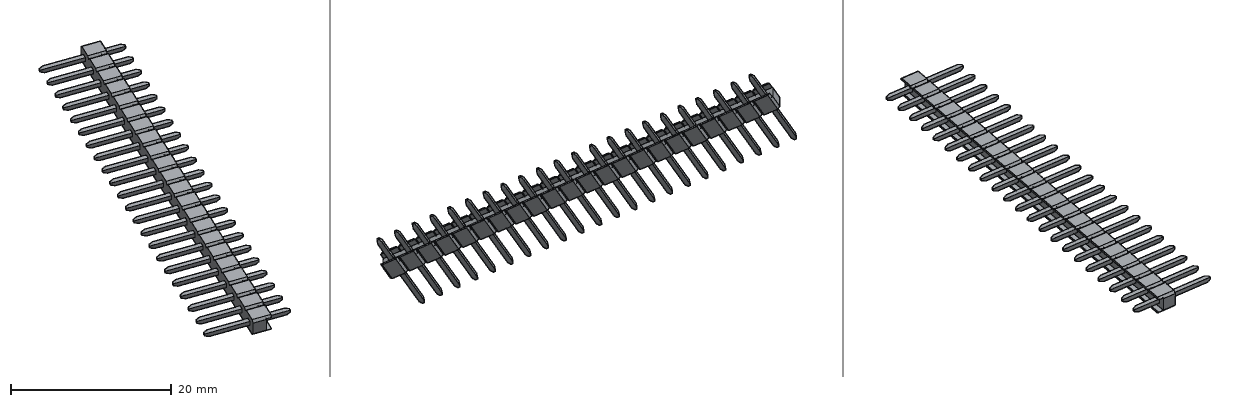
import cadquery as cq

PIN_COUNT = 22
PITCH = 2.54
ROW_LENGTH = PIN_COUNT * PITCH

HOUSING_DEPTH = PITCH
HOUSING_HEIGHT = 2.5
CELL_CHAMFER_X = 0.3
CELL_CHAMFER_Z = 0.35

CHANNEL_DEPTH = 0.72
LIP_THICKNESS = 0.29
CHANNEL_HEIGHT = HOUSING_HEIGHT - 2 * LIP_THICKNESS

PIN_WIDTH = 0.64
FRONT_PIN_LENGTH = 6.06
REAR_PIN_LENGTH = 3.0
TIP_LENGTH = 0.54
TIP_WIDTH = PIN_WIDTH / 2
PIN_OFFSET_X = -0.1

HOUSING_FRONT_Y = -HOUSING_DEPTH / 2
HOUSING_REAR_Y = HOUSING_DEPTH / 2
PIN_FRONT_Y = HOUSING_FRONT_Y - FRONT_PIN_LENGTH
PIN_REAR_Y = HOUSING_REAR_Y + REAR_PIN_LENGTH


def cell_centre(index):
    """X position of the centre of one header position."""
    return (index + 0.5) * PITCH - ROW_LENGTH / 2


def section_at(y):
    """XZ workplane at the given Y whose normal points toward +Y (local x is +Z, local y is +X)."""
    return cq.Workplane(cq.Plane(origin=(0, y, 0), xDir=(0, 0, 1), normal=(0, 1, 0)))


def make_housing():
    """Extrude the scalloped row outline along Y and cut the rear channel."""
    half_pitch = PITCH / 2
    half_flat = half_pitch - CELL_CHAMFER_X
    top = HOUSING_HEIGHT / 2
    shoulder = top - CELL_CHAMFER_Z

    upper_edge = [(shoulder, -ROW_LENGTH / 2)]
    for index in range(PIN_COUNT):
        x = cell_centre(index)
        upper_edge.append((top, x - half_flat))
        upper_edge.append((top, x + half_flat))
        upper_edge.append((shoulder, x + half_pitch))
    lower_edge = [(-z, x) for z, x in reversed(upper_edge)]

    housing = section_at(HOUSING_FRONT_Y).polyline(upper_edge + lower_edge).close().extrude(HOUSING_DEPTH)
    channel = (
        section_at(HOUSING_REAR_Y - CHANNEL_DEPTH)
        .rect(CHANNEL_HEIGHT, ROW_LENGTH)
        .extrude(CHANNEL_DEPTH)
    )
    return housing.cut(channel)


def make_tip(base_y, end_y):
    """Square taper from the full pin section at base_y to the small end at end_y."""
    return (
        section_at(base_y)
        .rect(PIN_WIDTH, PIN_WIDTH)
        .workplane(offset=end_y - base_y)
        .rect(TIP_WIDTH, TIP_WIDTH)
        .loft(ruled=True)
    )


def make_pin():
    """One pin centred on X = 0, running through the housing along Y."""
    shaft_front_y = PIN_FRONT_Y + TIP_LENGTH
    shaft_rear_y = PIN_REAR_Y - TIP_LENGTH
    shaft = section_at(shaft_front_y).rect(PIN_WIDTH, PIN_WIDTH).extrude(shaft_rear_y - shaft_front_y)
    front_tip = make_tip(shaft_front_y, PIN_FRONT_Y)
    rear_tip = make_tip(shaft_rear_y, PIN_REAR_Y)
    return shaft.union(front_tip).union(rear_tip)


pin = make_pin()
result = make_housing()
for position in range(PIN_COUNT):
    result = result.union(pin.translate((cell_centre(position) + PIN_OFFSET_X, 0, 0)))